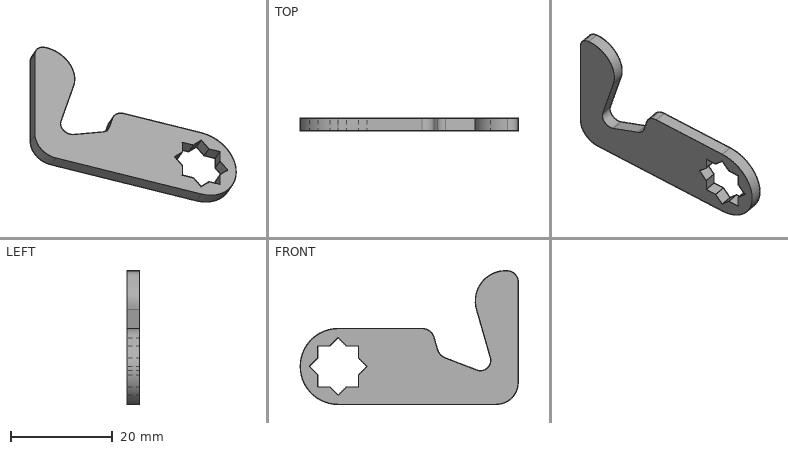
import cadquery as cq
import math

thickness = 2.5
body_radius = 7.5
right_edge = 35.5
heel_radius = 4.4

lobe_radius = 6.0
lobe_x = 33.0
lobe_z = 12.89
tip_radius = 2.25

flank_angle = 16.0
floor_angle = 21.0
shoulder_x = 18.4
floor_start_z = 2.15
shoulder_radius = 2.5
floor_start_radius = 2.5
notch_radius = 2.0

star_square = 8.0
star_turn = 45.0


def offset_point(origin, length, angle):
    """Point at a distance from the origin, angle in degrees from +X."""
    a = math.radians(angle)
    return (origin[0] + length * math.cos(a), origin[1] + length * math.sin(a))


def rounded_corner(wire, before, corner, after, radius):
    """Draw a line towards the corner, then the arc that rounds it."""
    angle_in = math.degrees(math.atan2(before[1] - corner[1], before[0] - corner[0]))
    angle_out = math.degrees(math.atan2(after[1] - corner[1], after[0] - corner[0]))
    half_angle = ((angle_out - angle_in + 180) % 360 - 180) / 2
    setback = radius / math.tan(math.radians(abs(half_angle)))
    centre_distance = radius / math.sin(math.radians(abs(half_angle)))
    start = offset_point(corner, setback, angle_in)
    middle = offset_point(corner, centre_distance - radius, angle_in + half_angle)
    end = offset_point(corner, setback, angle_out)
    return wire.lineTo(*start).threePointArc(middle, end)


def lever_outline():
    lobe_centre = (lobe_x, lobe_z)

    flank_slope = math.tan(math.radians(flank_angle))
    floor_slope = math.tan(math.radians(floor_angle))
    shoulder = (shoulder_x, body_radius)
    floor_start = (shoulder_x + (body_radius - floor_start_z) * flank_slope, floor_start_z)
    lobe_start = offset_point(lobe_centre, lobe_radius, 180 + flank_angle)
    flank_x_at_floor_start = lobe_start[0] + (lobe_start[1] - floor_start_z) * flank_slope
    floor_run = (flank_x_at_floor_start - floor_start[0]) / (1 - flank_slope * floor_slope)
    notch_corner = (floor_start[0] + floor_run, floor_start_z - floor_run * floor_slope)

    tip_x = right_edge - tip_radius
    tip_angle = math.degrees(math.acos((tip_x - lobe_x) / (lobe_radius - tip_radius)))
    tip_centre = offset_point(lobe_centre, lobe_radius - tip_radius, tip_angle)
    lobe_end = offset_point(lobe_centre, lobe_radius, tip_angle)
    lobe_middle = offset_point(lobe_centre, lobe_radius, (180 + flank_angle + tip_angle) / 2)
    tip_middle = offset_point(tip_centre, tip_radius, tip_angle / 2)
    tip_end = (right_edge, tip_centre[1])

    heel = (right_edge, -body_radius)
    body_bottom = (0, -body_radius)
    body_top = (0, body_radius)

    wire = cq.Workplane("XZ").moveTo(*body_bottom)
    wire = wire.threePointArc((-body_radius, 0), body_top)
    wire = rounded_corner(wire, body_top, shoulder, floor_start, shoulder_radius)
    wire = rounded_corner(wire, shoulder, floor_start, notch_corner, floor_start_radius)
    wire = rounded_corner(wire, floor_start, notch_corner, lobe_start, notch_radius)
    wire = wire.lineTo(*lobe_start).threePointArc(lobe_middle, lobe_end)
    wire = wire.threePointArc(tip_middle, tip_end)
    wire = rounded_corner(wire, tip_end, heel, body_bottom, heel_radius)
    return wire.close()


def star_cutter():
    square = cq.Workplane("XZ").rect(star_square, star_square).extrude(thickness / 2, both=True)
    turned_square = square.rotate((0, 0, 0), (0, 1, 0), star_turn)
    return square.union(turned_square)


plate = lever_outline().extrude(thickness / 2, both=True)
result = plate.cut(star_cutter())